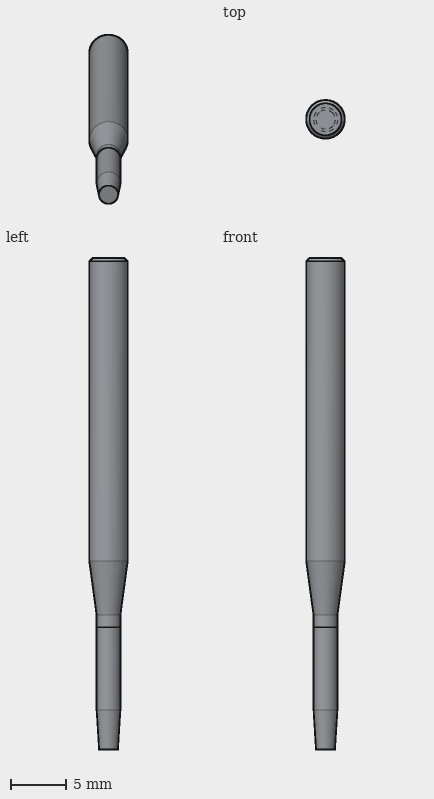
import cadquery as cq

total_length = 44.5

shank_radius = 3.5 / 2
shank_chamfer = 0.3
cone_bottom_z = 12.2
cone_top_z = 17.1

neck_radius = 2.2 / 2
joint_z = 11.1

nose_radius = 1.75 / 2
nose_length = 3.6


def revolve_about_z(profile):
    """Turn a closed profile of (radius, height) points once around Z."""
    return cq.Workplane("XZ").polyline(profile).close().revolve(360, (0, 0), (0, 1))


def make_shank():
    """Chamfered bar, cone and short collar, in one turned body."""
    return revolve_about_z([
        (0, joint_z),
        (neck_radius, joint_z),
        (neck_radius, cone_bottom_z),
        (shank_radius, cone_top_z),
        (shank_radius, total_length - shank_chamfer),
        (shank_radius - shank_chamfer, total_length),
        (0, total_length),
    ])


def make_tip():
    """Straight neck with a tapered nose, standing below the shank collar."""
    return revolve_about_z([
        (0, 0),
        (nose_radius, 0),
        (neck_radius, nose_length),
        (neck_radius, joint_z),
        (0, joint_z),
    ])


shank = make_shank()
tip = make_tip()

result = cq.Compound.makeCompound([shank.val(), tip.val()])